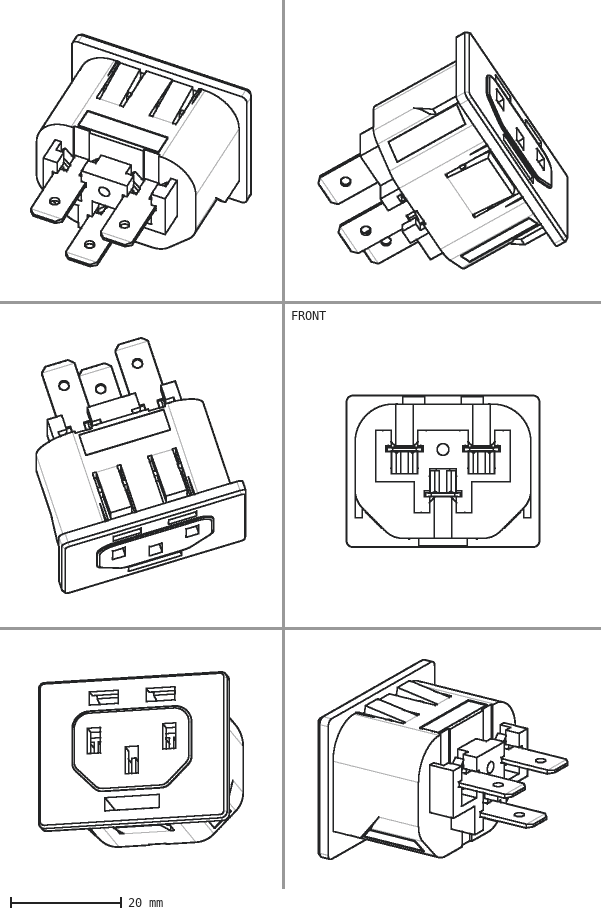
import cadquery as cq
import math


EPS = 0.005
OVERCUT = 0.37

FLANGE_W = 35.1
FLANGE_H = 27.55
FLANGE_T = 2.5
FLANGE_CORNER_R = 1.15
FLANGE_EDGE_DEPTH = 0.67
FLANGE_EDGE_INSET = 0.45
PAD_W = 22.25
PAD_H = 15.28
PAD_T = 0.4
PAD_TOP_R = 3.22
PAD_BOTTOM_CHAMFER = 4.75
PAD_BOTTOM_R = 2.32
PAD_EDGE_DEPTH = 0.2
PAD_EDGE_INSET = 0.45

BODY_W = 31.95
BODY_H = 24.4
BODY_L = 18.6
BODY_TOP_R = 6.9
BODY_BOTTOM_CHAMFER = 6.85
BODY_BOTTOM_R = 4.7
LOWER_FACE_ANGLE = 45

SKIRT_T = 1.27
SKIRT_BOTTOM_Z = -8.45
SKIRT_TOP_Z = -3.45
SKIRT_SHORT_L = 5.95
SKIRT_LONG_L = 10.0

LATCH_L = 9.95
LATCH_TIP_GAP = 1.3
LATCH_RISE = 1.3
LATCH_T = 2.62
LATCH_POCKET_DEPTH = 3.37
LATCH_SIDE_GAP = 0.67
WINDOW_DROP = 0.9
TOP_LATCH_X = 5.28
TOP_LATCH_W = 4.0
BOTTOM_LATCH_W = 8.75
WEB_Y = -6.55
WEB_L = 0.95
WEB_DEPTH = 0.22

CRUSH_RIB_R = 0.1
CRUSH_RIB_L = 4.0
TOP_CRUSH_RIB_X = 8.42
BOTTOM_CRUSH_RIB_X = 6.15

TOP_PANEL_W = 16.1
TOP_PANEL_L = 4.08
TOP_PANEL_Y = -15.65
TOP_PANEL_DEPTH = 0.2
SIDE_PANEL_W = 4.3
SIDE_PANEL_L = 14.53
SIDE_PANEL_Y = -9.3
SIDE_PANEL_T = 0.1

BLOCK_L = 5.13
BLOCK_TOP_W = 24.4
BLOCK_TOP_Z = 7.45
BLOCK_STEP_Z = -1.87
BLOCK_BOTTOM_W = 10.4
BLOCK_BOTTOM_Z = -7.5
SCREW_HOLE_D = 2.15

SHEET_T = 0.8
PITCH = 7.0
LINE_Z = 3.95
EARTH_Z = -4.25
TAB_W = 6.3
TAB_TIP_Y = -34.52
TAB_TIP_CHAMFER = 0.97
TAB_TIP_THINNING = 0.15
TAB_HOLE_D = 1.8
TAB_HOLE_Y = -30.03
NECK_W = 2.55
NECK_Y = -22.2
WING_REAR_Y = -20.48
WING_ROOT_X = 1.45
WING_LENGTH = 2.47
BEND_ANGLE = 45
CLIP_W = 4.65
CLIP_REAR_Y = -18.27
CLIP_FRONT_Y = -3.75
CLIP_LEG_H = 4.0
CLIP_MOUTH_GAP = 1.35

CAVITY_W = 4.85
CAVITY_CLEARANCE = 0.3
CAVITY_FRONT_Y = 0.0
MOUTH_W = 2.45
TAB_SLOT_W = 6.75
WING_POCKET_W = 7.97
WING_POCKET_L = 2.25
WING_POCKET_DROP = 3.0
GROOVE_W = 3.15
GROOVE_DEPTH = 0.4

LINE_XS = (-PITCH, PITCH)
BODY_TOP_Z = BODY_H / 2
REAR_Y = -BODY_L
BLOCK_REAR_Y = REAR_Y - BLOCK_L


def box(x0, x1, y0, y1, z0, z1):
    """Axis-aligned block between two opposite corners."""
    return cq.Workplane("XY").box(x1 - x0, y1 - y0, z1 - z0, centered=False).translate((x0, y0, z0))


def centred_box(width, x, y0, y1, z0, z1):
    """Block of a given width centred on x."""
    return box(x - width / 2, x + width / 2, y0, y1, z0, z1)


def d_shape(width, height, y_front, length, top_r, chamfer, bottom_r):
    """Block with rounded top corners and rounded-off chamfered bottom corners, running toward -Y."""
    half_w = width / 2
    half_h = height / 2
    block = (
        cq.Workplane("XZ", origin=(0, y_front, 0))
        .moveTo(-half_w, half_h)
        .lineTo(half_w, half_h)
        .lineTo(half_w, chamfer - half_h)
        .lineTo(half_w - chamfer, -half_h)
        .lineTo(chamfer - half_w, -half_h)
        .lineTo(-half_w, chamfer - half_h)
        .close()
        .extrude(length)
    )
    block = block.edges("|Y and >Z").fillet(top_r)
    low_corners = cq.selectors.BoxSelector(
        (-width, y_front - length, -half_h - EPS), (width, y_front, chamfer - half_h + EPS)
    )
    return block.edges("|Y").edges(low_corners).fillet(bottom_r)


def bevelled(block, depth, inset):
    """Bevel the rim of a block's +Y face."""
    return block.faces(">Y").edges().chamfer(inset, depth)


def make_flange():
    plate = centred_box(FLANGE_W, 0, 0, FLANGE_T, -FLANGE_H / 2, FLANGE_H / 2)
    plate = plate.edges("|Y").fillet(FLANGE_CORNER_R)
    plate = bevelled(plate, FLANGE_EDGE_DEPTH, FLANGE_EDGE_INSET)
    pad = d_shape(
        PAD_W, PAD_H, FLANGE_T + PAD_T, PAD_T + EPS, PAD_TOP_R, PAD_BOTTOM_CHAMFER, PAD_BOTTOM_R
    )
    pad = bevelled(pad, PAD_EDGE_DEPTH, PAD_EDGE_INSET)
    return plate.union(pad)


def make_body():
    return d_shape(
        BODY_W, BODY_H, EPS, BODY_L + EPS, BODY_TOP_R, BODY_BOTTOM_CHAMFER, BODY_BOTTOM_R
    )


def make_skirt(side):
    """Side wall that continues straight down beside the flange."""
    x_outer = side * BODY_W / 2
    return (
        cq.Workplane("YZ", origin=(x_outer, 0, 0))
        .moveTo(EPS, SKIRT_BOTTOM_Z)
        .lineTo(-SKIRT_SHORT_L, SKIRT_BOTTOM_Z)
        .lineTo(-SKIRT_LONG_L, SKIRT_TOP_Z)
        .lineTo(-SKIRT_LONG_L, 0)
        .lineTo(EPS, 0)
        .close()
        .extrude(-side * SKIRT_T)
    )


def latch_pocket(x, width):
    """Pocket round a top latch, with a lower window that opens through the flange."""
    pocket_w = width + 2 * LATCH_SIDE_GAP
    floor = BODY_TOP_Z - LATCH_POCKET_DEPTH
    pocket = centred_box(pocket_w, x, -LATCH_L, 0, floor, BODY_TOP_Z + EPS)
    window_top = BODY_TOP_Z - WINDOW_DROP
    window = centred_box(pocket_w, x, -EPS, FLANGE_T + EPS, floor, window_top)
    return pocket.union(window)


def latch(x, width):
    """Sloping spring tongue rooted at the rear of its pocket, with a thin web on either side."""
    run = LATCH_L - LATCH_TIP_GAP
    slope = math.atan2(LATCH_RISE, run)
    drop = LATCH_T * math.cos(slope)
    shift = LATCH_T * math.sin(slope)
    tongue = (
        cq.Workplane("YZ", origin=(x - width / 2, 0, 0))
        .moveTo(-LATCH_L - OVERCUT, BODY_TOP_Z)
        .lineTo(-LATCH_L, BODY_TOP_Z)
        .lineTo(-LATCH_TIP_GAP, BODY_TOP_Z + LATCH_RISE)
        .lineTo(-LATCH_TIP_GAP + shift, BODY_TOP_Z + LATCH_RISE - drop)
        .lineTo(-LATCH_L, BODY_TOP_Z - LATCH_T)
        .lineTo(-LATCH_L - OVERCUT, BODY_TOP_Z - LATCH_T)
        .close()
        .extrude(width)
    )
    web = centred_box(
        width + 2 * LATCH_SIDE_GAP + 2 * EPS, x, WEB_Y - WEB_L / 2, WEB_Y + WEB_L / 2,
        BODY_TOP_Z - LATCH_POCKET_DEPTH - EPS, BODY_TOP_Z - WEB_DEPTH,
    )
    return tongue.union(web)


def upside_down(shape):
    """Turn a top feature into the matching bottom one."""
    return shape.mirror("XY")


def crush_rib(x, z):
    """Cone lying half-sunk in a face and tapering away from the flange."""
    cone = cq.Solid.makeCone(
        CRUSH_RIB_R, 0, CRUSH_RIB_L, cq.Vector(x, 0, z), cq.Vector(0, -1, 0)
    )
    return cq.Workplane(obj=cone)


def top_panel_recess():
    return centred_box(
        TOP_PANEL_W, 0, TOP_PANEL_Y - TOP_PANEL_L / 2, TOP_PANEL_Y + TOP_PANEL_L / 2,
        BODY_TOP_Z - TOP_PANEL_DEPTH, BODY_TOP_Z + OVERCUT,
    )


def side_panel(side):
    """Slightly raised panel on a 45-degree lower face."""
    middle_x = BODY_W / 2 - BODY_BOTTOM_CHAMFER / 2
    middle_z = -BODY_TOP_Z + BODY_BOTTOM_CHAMFER / 2
    return (
        cq.Workplane("XY")
        .box(SIDE_PANEL_W, SIDE_PANEL_L, 2 * SIDE_PANEL_T)
        .rotate((0, 0, 0), (0, 1, 0), -side * LOWER_FACE_ANGLE)
        .translate((side * middle_x, SIDE_PANEL_Y, middle_z))
    )


def make_block():
    """T-shaped terminal block with a screw hole as deep as the block."""
    upper = centred_box(BLOCK_TOP_W, 0, BLOCK_REAR_Y, REAR_Y + EPS, BLOCK_STEP_Z, BLOCK_TOP_Z)
    lower = centred_box(BLOCK_BOTTOM_W, 0, BLOCK_REAR_Y, REAR_Y + EPS, BLOCK_BOTTOM_Z, BLOCK_TOP_Z)
    hole = (
        cq.Workplane("XZ", origin=(0, REAR_Y, LINE_Z)).circle(SCREW_HOLE_D / 2).extrude(BLOCK_L + OVERCUT)
    )
    return upper.union(lower).cut(hole)


def contact_cavity(x, z, leg_side):
    """Space removed from the housing for one contact; leg_side is -1 with the legs down, 1 up."""
    low = z - SHEET_T / 2
    high = z + SHEET_T / 2
    slot_top = high + CAVITY_CLEARANCE
    if leg_side < 0:
        clip_low = low - CLIP_LEG_H
        clip_high = slot_top
        block_low = clip_low
        block_high = BLOCK_TOP_Z + OVERCUT
        wing_low = low - WING_POCKET_DROP
        wing_high = block_high
        groove_low = z
        groove_high = BODY_TOP_Z + OVERCUT
        mouth_low = clip_low
        mouth_high = high
    else:
        clip_low = low
        clip_high = high + CLIP_LEG_H + CAVITY_CLEARANCE
        block_low = BLOCK_BOTTOM_Z - OVERCUT
        block_high = clip_high
        wing_low = block_low
        wing_high = high + WING_POCKET_DROP
        groove_low = -BODY_TOP_Z - OVERCUT
        groove_high = z
        mouth_low = low
        mouth_high = clip_high
    behind = BLOCK_REAR_Y - OVERCUT
    cuts = centred_box(CAVITY_W, x, REAR_Y - EPS, CAVITY_FRONT_Y, clip_low, clip_high)
    cuts = cuts.union(centred_box(MOUTH_W, x, -EPS, FLANGE_T + PAD_T + OVERCUT, mouth_low, mouth_high))
    cuts = cuts.union(centred_box(CAVITY_W, x, behind, REAR_Y, block_low, block_high))
    cuts = cuts.union(centred_box(TAB_SLOT_W, x, behind, REAR_Y, low, slot_top))
    cuts = cuts.union(
        centred_box(WING_POCKET_W, x, REAR_Y - WING_POCKET_L, REAR_Y, wing_low, wing_high)
    )
    groove = centred_box(GROOVE_W, x, REAR_Y, REAR_Y + GROOVE_DEPTH, groove_low, groove_high)
    return cuts.union(groove)


def make_housing():
    housing = make_flange().union(make_body()).union(make_block())
    for x in (-TOP_LATCH_X, TOP_LATCH_X):
        housing = housing.cut(latch_pocket(x, TOP_LATCH_W)).union(latch(x, TOP_LATCH_W))
    housing = housing.cut(upside_down(latch_pocket(0, BOTTOM_LATCH_W)))
    housing = housing.union(upside_down(latch(0, BOTTOM_LATCH_W)))
    for side in (-1, 1):
        housing = housing.union(make_skirt(side)).union(side_panel(side))
        housing = housing.union(crush_rib(side * TOP_CRUSH_RIB_X, BODY_TOP_Z))
        housing = housing.union(crush_rib(side * BOTTOM_CRUSH_RIB_X, -BODY_TOP_Z))
    housing = housing.cut(top_panel_recess())
    for x in LINE_XS:
        housing = housing.cut(contact_cavity(x, LINE_Z, -1))
    return housing.cut(contact_cavity(0, EARTH_Z, 1))


def make_tab():
    """Flat terminal from its bevelled tip to the clip, lying on Z = 0."""
    half_t = SHEET_T / 2
    blade = centred_box(TAB_W, 0, TAB_TIP_Y, NECK_Y, -half_t, half_t)
    blade = blade.edges("|Z and <Y").chamfer(TAB_TIP_CHAMFER)
    for face in (-1, 1):
        bevel = (
            cq.Workplane("YZ", origin=(-TAB_W / 2 - OVERCUT, 0, 0))
            .moveTo(TAB_TIP_Y, face * (half_t - TAB_TIP_THINNING))
            .lineTo(TAB_TIP_Y + TAB_TIP_CHAMFER, face * half_t)
            .lineTo(TAB_TIP_Y, face * half_t)
            .close()
            .extrude(TAB_W + 2 * OVERCUT)
        )
        blade = blade.cut(bevel)
    hole = cq.Workplane("XY", origin=(0, TAB_HOLE_Y, -SHEET_T)).circle(TAB_HOLE_D / 2)
    blade = blade.cut(hole.extrude(2 * SHEET_T))
    neck = centred_box(NECK_W, 0, NECK_Y, WING_REAR_Y, -half_t, half_t)
    root = centred_box(2 * WING_ROOT_X, 0, WING_REAR_Y, CLIP_REAR_Y, -half_t, half_t)
    return blade.union(neck).union(root)


def make_wing(side):
    """Lug bent up at 45 degrees from the root of the tab."""
    rise = WING_LENGTH * math.sin(math.radians(BEND_ANGLE))
    edge = SHEET_T * math.sin(math.radians(BEND_ANGLE))
    x0 = WING_ROOT_X
    z0 = SHEET_T / 2
    return (
        cq.Workplane("XZ", origin=(0, REAR_Y, 0))
        .moveTo(side * x0, z0)
        .lineTo(side * (x0 + rise), z0 + rise)
        .lineTo(side * (x0 + rise + edge), z0 + rise - edge)
        .lineTo(side * x0, z0 - 2 * edge)
        .lineTo(side * (x0 - OVERCUT), z0 - SHEET_T)
        .lineTo(side * (x0 - OVERCUT), z0)
        .close()
        .extrude(REAR_Y - WING_REAR_Y)
    )


def make_clip():
    """Channel whose two legs close toward the front and grip the mating pin."""
    half_w = CLIP_W / 2
    half_t = SHEET_T / 2
    clip = centred_box(CLIP_W, 0, CLIP_REAR_Y, CLIP_FRONT_Y, -half_t, half_t)
    for side in (-1, 1):
        leg = (
            cq.Workplane("XY", origin=(0, 0, -half_t - CLIP_LEG_H))
            .moveTo(side * half_w, CLIP_REAR_Y)
            .lineTo(side * (CLIP_MOUTH_GAP / 2 + SHEET_T), CLIP_FRONT_Y)
            .lineTo(side * CLIP_MOUTH_GAP / 2, CLIP_FRONT_Y)
            .lineTo(side * (half_w - SHEET_T), CLIP_REAR_Y)
            .close()
            .extrude(CLIP_LEG_H + SHEET_T)
        )
        clip = clip.union(leg)
    return clip


def make_contact(x, z, leg_side):
    """Tab, bent lugs and gripping clip in one piece of sheet."""
    contact = make_tab().union(make_clip())
    for side in (-1, 1):
        contact = contact.union(make_wing(side))
    if leg_side > 0:
        contact = contact.mirror("XY")
    return contact.translate((x, 0, z))


housing = make_housing()
line_contacts = [make_contact(x, LINE_Z, -1) for x in LINE_XS]
earth_contact = make_contact(0, EARTH_Z, 1)

result = cq.Compound.makeCompound(
    [housing.val(), *[contact.val() for contact in line_contacts], earth_contact.val()]
)